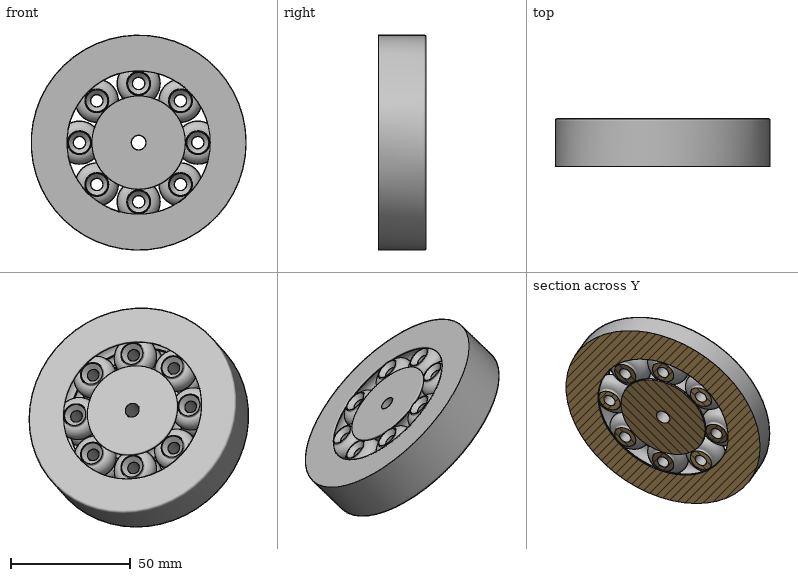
import cadquery as cq
import math

WIDTH = 20.0
CLEARANCE = 0.2

RING_DIAMETER = 89.7
RING_EDGE_FILLET = 1.0
RING_BORE_DIAMETER = 59.75
HUB_DIAMETER = 38.9
HUB_HOLE_DIAMETER = 6.0
LIP_EDGE_FILLET = 0.4
LIP_INNER_FILLET = 0.3

ROLLER_COUNT = 8
CORE_DIAMETER = 10.0
LOBE_RADIUS = 4.0
LOBE_INSET = 1.0
LOBE_ROOT_FILLET = 0.45
CORE_EDGE_FILLET = 0.3
ROLLER_HOLE_DIAMETER = 5.0
COUNTERSINK_DIAMETER = 9.15

PITCH_RADIUS = (RING_BORE_DIAMETER + HUB_DIAMETER) / 4
CORE_RADIUS = CORE_DIAMETER / 2
FRONT_LOBE_Y = LOBE_INSET + LOBE_RADIUS
BACK_LOBE_Y = WIDTH - FRONT_LOBE_Y
RACE_RADIUS = LOBE_RADIUS + CLEARANCE
COUNTERSINK_DEPTH = (COUNTERSINK_DIAMETER - ROLLER_HOLE_DIAMETER) / 2


def revolve_about_y(outline):
    return outline.close().revolve(360, (0, 0, 0), (0, 1, 0))


def fillet_circles(body, circle_radius, heights, fillet_radius):
    """Fillet the circular edges around Y that have the given radius and heights along Y."""
    tolerance = 0.01
    edges = [
        edge
        for edge in body.edges("%CIRCLE").vals()
        if abs(edge.radius() - circle_radius) < tolerance
        and any(abs(edge.Center().y - height) < tolerance for height in heights)
    ]
    return body.newObject(edges).fillet(fillet_radius).solids()


def flank_heights(half_width):
    """Heights along Y of both flanks of the two lobes, or races, from front to back."""
    return [center + side * half_width for center in (FRONT_LOBE_Y, BACK_LOBE_Y) for side in (-1, 1)]


def make_raced_disc(plain_radius, lip_radius, away):
    """Disc with two round races, separated and flanked by lips.

    The races are cut away from the rollers: outward (away = 1) or inward (away = -1).
    """
    race_center = PITCH_RADIUS + away * CORE_RADIUS
    race_floor = race_center + away * RACE_RADIUS
    race_half_width = math.sqrt(RACE_RADIUS**2 - (lip_radius - race_center)**2)
    flanks = flank_heights(race_half_width)

    disc = revolve_about_y(
        cq.Workplane("XY")
        .moveTo(plain_radius, 0)
        .lineTo(lip_radius, 0)
        .lineTo(lip_radius, flanks[0])
        .threePointArc((race_floor, FRONT_LOBE_Y), (lip_radius, flanks[1]))
        .lineTo(lip_radius, flanks[2])
        .threePointArc((race_floor, BACK_LOBE_Y), (lip_radius, flanks[3]))
        .lineTo(lip_radius, WIDTH)
        .lineTo(plain_radius, WIDTH)
    )
    disc = fillet_circles(disc, lip_radius, flanks, LIP_INNER_FILLET)
    return fillet_circles(disc, lip_radius, (0, WIDTH), LIP_EDGE_FILLET)


def make_ring():
    """Outer ring, with its races in the bore and its outer edge rounded at the back only."""
    outer = RING_DIAMETER / 2
    ring = make_raced_disc(outer, RING_BORE_DIAMETER / 2, away=1)
    return fillet_circles(ring, outer, (WIDTH,), RING_EDGE_FILLET)


def make_hub():
    """Central disc, with its races in the rim and a plain through hole."""
    return make_raced_disc(HUB_HOLE_DIAMETER / 2, HUB_DIAMETER / 2, away=-1)


def make_roller():
    """Roller on the Y axis: a core with two round lobes and a through hole countersunk at both ends."""
    hole = ROLLER_HOLE_DIAMETER / 2
    mouth = COUNTERSINK_DIAMETER / 2
    crest = CORE_RADIUS + LOBE_RADIUS
    flanks = flank_heights(LOBE_RADIUS)

    roller = revolve_about_y(
        cq.Workplane("XY")
        .moveTo(hole, COUNTERSINK_DEPTH)
        .lineTo(mouth, 0)
        .lineTo(CORE_RADIUS, 0)
        .lineTo(CORE_RADIUS, flanks[0])
        .threePointArc((crest, FRONT_LOBE_Y), (CORE_RADIUS, flanks[1]))
        .lineTo(CORE_RADIUS, flanks[2])
        .threePointArc((crest, BACK_LOBE_Y), (CORE_RADIUS, flanks[3]))
        .lineTo(CORE_RADIUS, WIDTH)
        .lineTo(mouth, WIDTH)
        .lineTo(hole, WIDTH - COUNTERSINK_DEPTH)
    )
    roller = fillet_circles(roller, CORE_RADIUS, flanks, LOBE_ROOT_FILLET)
    return fillet_circles(roller, CORE_RADIUS, (0, WIDTH), CORE_EDGE_FILLET)


def place_roller(index):
    """Roller at its place on the pitch circle between the ring and the hub."""
    angle = 2 * math.pi * index / ROLLER_COUNT
    return make_roller().translate((PITCH_RADIUS * math.cos(angle), 0, PITCH_RADIUS * math.sin(angle)))


ring = make_ring()
hub = make_hub()
rollers = [place_roller(index) for index in range(ROLLER_COUNT)]

result = cq.Compound.makeCompound([ring.val(), hub.val(), *[roller.val() for roller in rollers]])